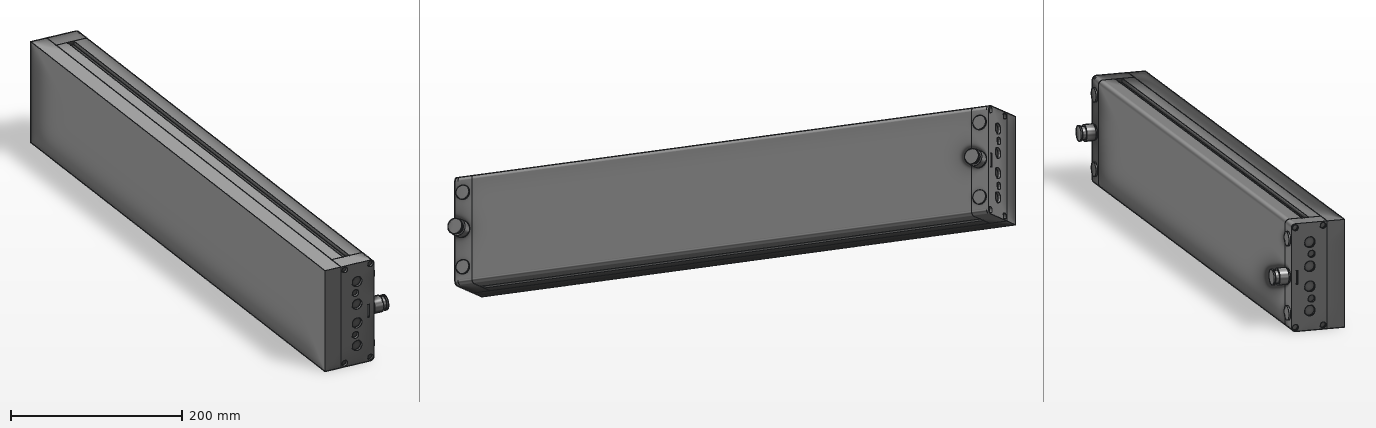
import cadquery as cq

LENGTH = 712.0
HEIGHT = 130.0
TOTAL_DEPTH = 86.0
BODY_DEPTH = 65.5
PANEL_DEPTH = 21.5
BACK_EDGE_RADIUS = 6.0

CAP_LENGTH = 23.0
HOLE_DEPTH = 3.5
CABLE_HOLE_Y = 43.0
CABLE_HOLE_RADIUS = 6.5
CABLE_HOLE_HEIGHTS = (12.0, 41.0)
SMALL_HOLE_Y = 40.5
SMALL_HOLE_RADIUS = 4.0
SMALL_HOLE_HEIGHT = 27.0
SCREW_HOLE_RADIUS = 3.5
SCREW_HOLE_EDGE = 5.0
SLOT_Y = 58.5
SLOT_WIDTH = 2.0
SLOT_HEIGHT = 16.5

GROOVE_FRONT_Y = 36.0
GROOVE_WIDTH = 8.5
GROOVE_DEPTH = 5.0

PLUG_RADIUS = 8.5
PLUG_PROJECTION = 2.0
PLUG_HEIGHT = 45.0

CONNECTOR_STEPS = (
    (8.5, BODY_DEPTH + 2.0),
    (10.0, BODY_DEPTH + 13.5),
    (8.0, BODY_DEPTH + 18.5),
    (9.0, TOTAL_DEPTH),
)


def make_profile_bar(x_start, length):
    """Bar behind the panel, with its two long back edges rounded."""
    bar = cq.Workplane("XY").box(
        length, BODY_DEPTH - PANEL_DEPTH, HEIGHT, centered=(False, False, True)
    )
    return bar.edges(">Y and |X").fillet(BACK_EDGE_RADIUS).translate((x_start, PANEL_DEPTH, 0))


def make_panel():
    return cq.Workplane("XY").box(LENGTH, PANEL_DEPTH, HEIGHT, centered=(False, False, True))


def make_housing():
    length = LENGTH - 2 * CAP_LENGTH
    housing = make_profile_bar(CAP_LENGTH, length)

    groove = cq.Workplane("XY").box(
        length, GROOVE_WIDTH, 2 * GROOVE_DEPTH, centered=(False, False, True)
    )
    for z in (-HEIGHT / 2, HEIGHT / 2):
        housing = housing.cut(groove.translate((CAP_LENGTH, GROOVE_FRONT_Y, z)))
    return housing


def drill_end_face(cap, points, radius):
    """Blind round holes in the end face at X = 0, at (Y, Z) points."""
    return cap.cut(cq.Workplane("YZ").pushPoints(points).circle(radius).extrude(HOLE_DEPTH))


def make_back_disc(radius, y_start, y_end, z=0):
    """Round step along Y, centred on the length of the left cap."""
    origin = (CAP_LENGTH / 2, y_end, z)
    return cq.Workplane("XZ", origin=origin).circle(radius).extrude(y_end - y_start)


def add_connector(cap):
    """Stepped round connector standing on the back face."""
    y_start = BODY_DEPTH
    for radius, y_end in CONNECTOR_STEPS:
        cap = cap.union(make_back_disc(radius, y_start, y_end))
        y_start = y_end
    return cap


def add_plugs(cap):
    for z in (-PLUG_HEIGHT, PLUG_HEIGHT):
        plug = make_back_disc(PLUG_RADIUS, BODY_DEPTH, BODY_DEPTH + PLUG_PROJECTION, z)
        cap = cap.union(plug)
    return cap


def make_left_cap():
    cap = make_profile_bar(0, CAP_LENGTH)

    cable_holes = [(CABLE_HOLE_Y, side * z) for z in CABLE_HOLE_HEIGHTS for side in (-1, 1)]
    cap = drill_end_face(cap, cable_holes, CABLE_HOLE_RADIUS)

    small_holes = [(SMALL_HOLE_Y, side * SMALL_HOLE_HEIGHT) for side in (-1, 1)]
    cap = drill_end_face(cap, small_holes, SMALL_HOLE_RADIUS)

    screw_y = (PANEL_DEPTH + SCREW_HOLE_EDGE, BODY_DEPTH - SCREW_HOLE_EDGE)
    screw_z = HEIGHT / 2 - SCREW_HOLE_EDGE
    screw_holes = [(y, side * screw_z) for y in screw_y for side in (-1, 1)]
    cap = drill_end_face(cap, screw_holes, SCREW_HOLE_RADIUS)

    slot = cq.Workplane("YZ").center(SLOT_Y, 0).rect(SLOT_WIDTH, SLOT_HEIGHT).extrude(HOLE_DEPTH)
    return add_plugs(add_connector(cap.cut(slot)))


panel = make_panel()
housing = make_housing()
left_cap = make_left_cap()
right_cap = left_cap.mirror("YZ", (LENGTH / 2, 0, 0))

result = cq.Compound.makeCompound([panel.val(), housing.val(), left_cap.val(), right_cap.val()])